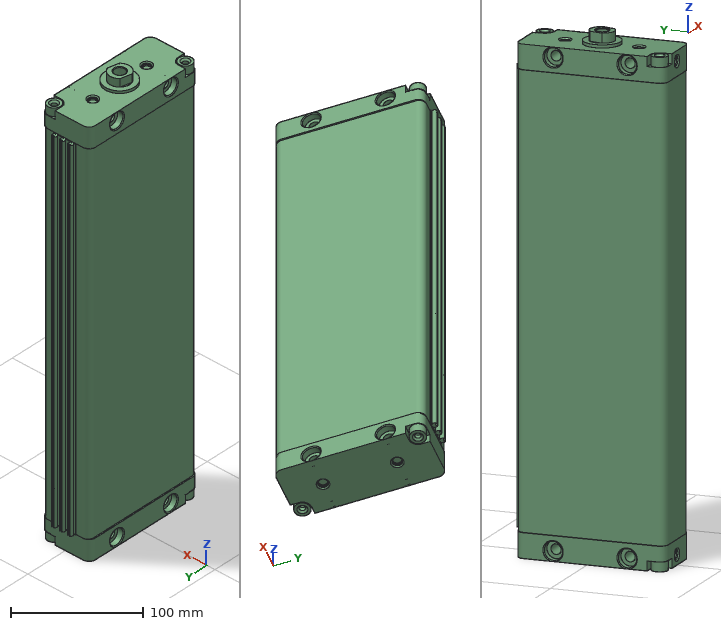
import cadquery as cq
import math

total_height = 412.0
rod_projection = 10.5
collar_height = 2.5
cap_height = 20.0
cap_top = total_height - rod_projection

cap_width = 50.0
cap_depth = 121.5
cap_corner_radius = 6.5

housing_side_inset = 1.2
housing_width = cap_width - 2 * housing_side_inset
housing_depth = cap_depth
housing_height = cap_top - 2 * cap_height
housing_corner_radius = 6.0
rail_height = 5.0
rail_spacing = 8.2
rail_base_width = 22.2
rail_base_height = 1.0
rail_neck_width = 2.0
rail_waist_width = 4.5
rail_slot_width = 1.5
rail_slot_depth = 1.2

rod_diameter = 20.0
collar_diameter = 30.0
wrench_width = 17.0
wrench_angle = -13.0

cap_thread_sizes = (10.5, 8.2, 7.0)
cap_hole_thread_depth = 2.0
rod_thread_sizes = (11.5, 10.5, 8.2)
rod_hole_thread_depth = 12.5
rod_hole_depth = 16.5
drill_point_angle = 118.0

hole_pitch = 60.0
hole_inset = 8.2
mounting_hole_diameter = 8.2
counterbore_diameter = 15.0
counterbore_mouth_diameter = 16.5
counterbore_depth = 6.0
end_hole_depth = 3.5
port_depth = 8.2

screw_inset = 7.0
screw_x = cap_width / 2 - screw_inset
screw_y = cap_depth / 2 - screw_inset
screw_pocket_diameter = 15.0
screw_pocket_depth = 8.0
screw_head_diameter = 13.0
screw_socket_diameter = 5.0
screw_socket_mouth_diameter = 8.2
screw_socket_depth = 5.0


def cylinder(diameter, start, direction, length):
    return cq.Workplane(
        cq.Solid.makeCylinder(diameter / 2, length, cq.Vector(*start), cq.Vector(*direction))
    )


def cone(start_diameter, end_diameter, start, direction, length):
    return cq.Workplane(
        cq.Solid.makeCone(
            start_diameter / 2, end_diameter / 2, length, cq.Vector(*start), cq.Vector(*direction)
        )
    )


def chamfered_hole(diameter, mouth_diameter, start, direction, depth):
    """Cutter for a blind flat hole with a 45 degree chamfer at its mouth."""
    mouth = cone(mouth_diameter, diameter, start, direction, (mouth_diameter - diameter) / 2)
    return cylinder(diameter, start, direction, depth).union(mouth)


def threaded_hole(sizes, start, direction, thread_depth, depth):
    """Cutter for a chamfered thread that steps down to its core diameter."""
    mouth_diameter, thread_diameter, core_diameter = sizes
    thread = chamfered_hole(thread_diameter, mouth_diameter, start, direction, thread_depth)
    return thread.union(cylinder(core_diameter, start, direction, depth))


def drill_point(diameter, x, y, z):
    """Cutter for the cone that a drill leaves below a hole ending at height z."""
    point_length = diameter / 2 / math.tan(math.radians(drill_point_angle / 2))
    return cone(diameter, 0, (x, y, z), (0, 0, -1), point_length)


def add_screw(cap, side):
    """Sink a screw head into the corner at +X +Y (side 1) or -X -Y (side -1)."""
    x = side * screw_x
    y = side * screw_y
    floor = cap_top - screw_pocket_depth
    pocket_size = screw_pocket_diameter / 2 + screw_inset
    pocket = (
        cq.Workplane("XY", origin=(0, 0, floor))
        .center(side * (cap_width - pocket_size) / 2, side * (cap_depth - pocket_size) / 2)
        .rect(pocket_size, pocket_size)
        .extrude(screw_pocket_depth)
        .edges("|Z and " + ("<X and <Y" if side > 0 else ">X and >Y"))
        .fillet(screw_pocket_diameter / 2)
    )
    head = cylinder(screw_head_diameter, (x, y, floor), (0, 0, 1), screw_pocket_depth)
    socket = chamfered_hole(
        screw_socket_diameter, screw_socket_mouth_diameter, (x, y, cap_top), (0, 0, -1), screw_socket_depth
    ).union(drill_point(screw_socket_diameter, x, y, cap_top - screw_socket_depth))
    return cap.cut(pocket).union(head).cut(socket)


def make_end_cap():
    """The cap in its top position, without the rod bore."""
    cap = (
        cq.Workplane("XY", origin=(0, 0, cap_top - cap_height))
        .rect(cap_width, cap_depth)
        .extrude(cap_height)
        .edges("|Z")
        .fillet(cap_corner_radius)
    )
    hole_z = cap_top - hole_inset
    for y in (-hole_pitch / 2, hole_pitch / 2):
        cap = cap.cut(cylinder(mounting_hole_diameter, (-cap_width / 2, y, hole_z), (1, 0, 0), cap_width))
        for side in (-1, 1):
            cap = cap.cut(
                chamfered_hole(
                    counterbore_diameter,
                    counterbore_mouth_diameter,
                    (side * cap_width / 2, y, hole_z),
                    (-side, 0, 0),
                    counterbore_depth,
                )
            )
        cap = cap.cut(
            threaded_hole(
                cap_thread_sizes, (0, y, cap_top), (0, 0, -1), cap_hole_thread_depth, end_hole_depth
            )
        )
    port = threaded_hole(
        cap_thread_sizes, (0, -cap_depth / 2, hole_z), (0, 1, 0), cap_hole_thread_depth, port_depth
    )
    cap = cap.cut(port)
    for side in (-1, 1):
        cap = add_screw(cap, side)
    return cap


def make_top_cap():
    collar = cylinder(collar_diameter, (0, 0, cap_top), (0, 0, 1), collar_height)
    rod_bore = cylinder(rod_diameter, (0, 0, cap_top - cap_height), (0, 0, 1), cap_height + collar_height)
    return make_end_cap().union(collar).cut(rod_bore)


def make_bottom_cap():
    return make_end_cap().mirror("XY", (0, 0, cap_top / 2))


def make_rail(x):
    """A sensor rail with bulging flanks and a slot along its tip."""
    foot = housing_depth / 2 + rail_base_height
    tip = housing_depth / 2 + rail_height
    waist = (foot + tip) / 2
    neck_x = rail_neck_width / 2
    waist_x = rail_waist_width / 2
    rail = (
        cq.Workplane("XY", origin=(x, 0, cap_height))
        .moveTo(-neck_x, foot)
        .lineTo(neck_x, foot)
        .threePointArc((waist_x, waist), (neck_x, tip))
        .lineTo(-neck_x, tip)
        .threePointArc((-waist_x, waist), (-neck_x, foot))
        .close()
        .extrude(housing_height)
    )
    slot = (
        cq.Workplane("XY", origin=(x, tip - rail_slot_depth / 2, cap_height))
        .rect(rail_slot_width, rail_slot_depth)
        .extrude(housing_height)
    )
    return rail.cut(slot)


def make_housing():
    housing = (
        cq.Workplane("XY", origin=(0, 0, cap_height))
        .rect(housing_width, housing_depth)
        .extrude(housing_height)
        .edges("|Z")
        .fillet(housing_corner_radius)
    )
    rail_base = (
        cq.Workplane("XY", origin=(0, (housing_depth + rail_base_height) / 2, cap_height))
        .rect(rail_base_width, rail_base_height)
        .extrude(housing_height)
    )
    housing = housing.union(rail_base)
    for x in (-rail_spacing, 0, rail_spacing):
        housing = housing.union(make_rail(x))
    return housing


def make_rod():
    bottom = cap_top - cap_height
    flats_height = rod_projection - collar_height
    rod = cylinder(rod_diameter, (0, 0, bottom), (0, 0, 1), total_height - bottom)
    across_flats = cq.Workplane("XY").box(wrench_width, 2 * rod_diameter, flats_height)
    flats = (
        cq.Workplane("XY")
        .box(2 * rod_diameter, 2 * rod_diameter, flats_height)
        .cut(across_flats)
        .rotate((0, 0, 0), (0, 0, 1), wrench_angle)
        .translate((0, 0, total_height - flats_height / 2))
    )
    hole = threaded_hole(
        rod_thread_sizes, (0, 0, total_height), (0, 0, -1), rod_hole_thread_depth, rod_hole_depth
    ).union(drill_point(rod_thread_sizes[-1], 0, 0, total_height - rod_hole_depth))
    return rod.cut(flats).cut(hole)


bottom_cap = make_bottom_cap()
top_cap = make_top_cap()
housing = make_housing()
rod = make_rod()

result = cq.Compound.makeCompound([bottom_cap.val(), top_cap.val(), housing.val(), rod.val()])